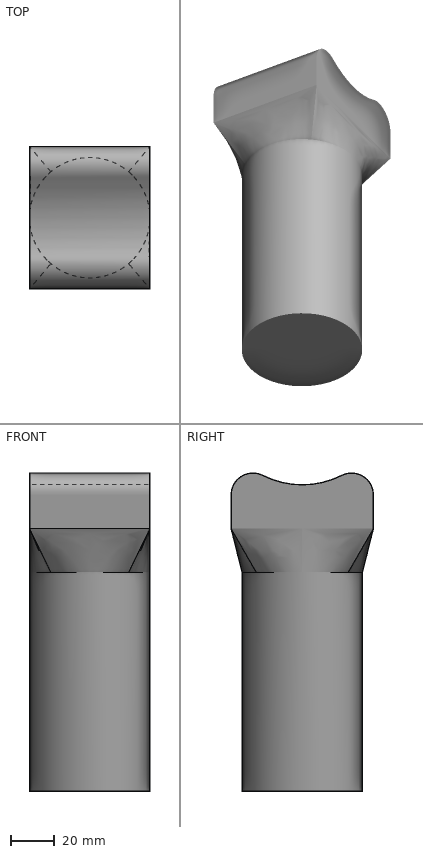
import cadquery as cq
import math

post_diameter = 55.0
post_height = 100.0

transition_height = 20.0

head_length = post_diameter
head_width = 65.0
rim_radius = 10.0
cradle_radius = 40.0
cradle_floor_height = 20.0

head_base_z = post_height + transition_height
half_width = head_width / 2

rim_center_y = half_width - rim_radius
cradle_floor_z = head_base_z + cradle_floor_height
cradle_center_z = cradle_floor_z + cradle_radius
center_distance = cradle_radius + rim_radius
rim_center_z = cradle_center_z - math.sqrt(center_distance**2 - rim_center_y**2)
rim_top_z = rim_center_z + rim_radius

cradle_share = cradle_radius / center_distance
tangent_y = rim_center_y * cradle_share
tangent_z = cradle_center_z + (rim_center_z - cradle_center_z) * cradle_share


def make_post():
    return cq.Workplane("XY").circle(post_diameter / 2).extrude(post_height)


def make_transition():
    """Loft from the post circle to the rectangle under the head."""
    return (
        cq.Workplane("XY", origin=(0, 0, post_height))
        .circle(post_diameter / 2)
        .workplane(offset=transition_height)
        .rect(head_length, head_width)
        .loft()
    )


def make_head():
    """Saddle profile in the YZ plane, extruded symmetrically along X."""
    return (
        cq.Workplane("YZ")
        .moveTo(-half_width, head_base_z)
        .lineTo(half_width, head_base_z)
        .lineTo(half_width, rim_center_z)
        .threePointArc((rim_center_y, rim_top_z), (tangent_y, tangent_z))
        .threePointArc((0, cradle_floor_z), (-tangent_y, tangent_z))
        .threePointArc((-rim_center_y, rim_top_z), (-half_width, rim_center_z))
        .close()
        .extrude(head_length / 2, both=True)
    )


result = make_post().union(make_transition()).union(make_head()).solids()